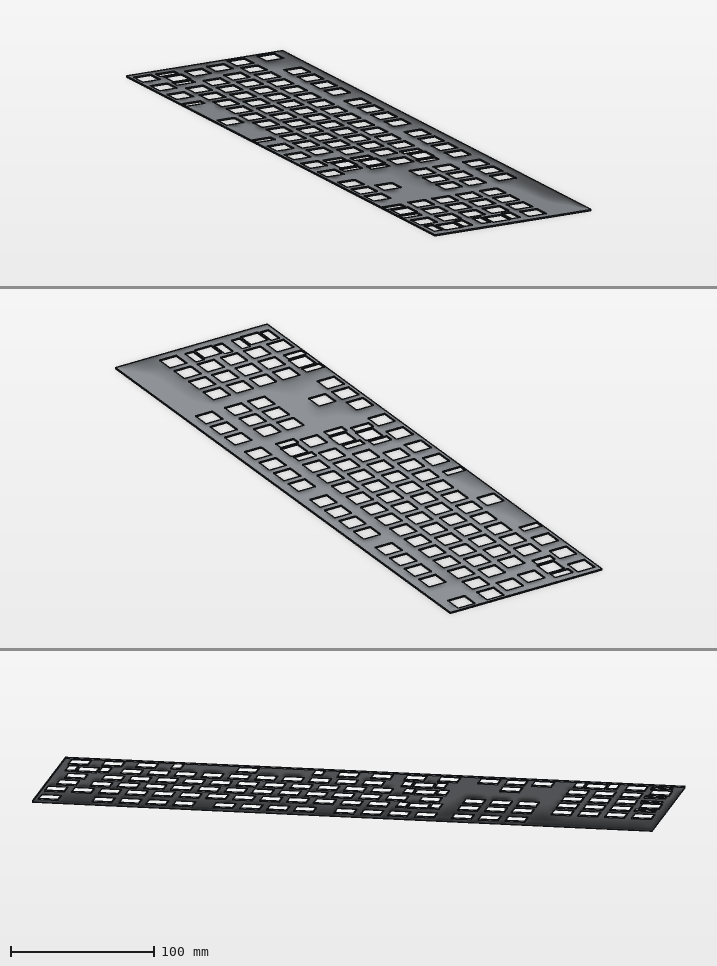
import cadquery as cq

plate_length = 439.5
plate_width = 124.8
plate_thickness = 1.0

function_row_span_units = 14
function_row_span = 266.5
key_unit = function_row_span / function_row_span_units
switch_size = 14.0
corner_radius = 0.5

left_margin = 2.55
right_margin = 6.5
bottom_margin = 2.5

numpad_web = 14.0

slot_width = 7.0
slot_length = 15.0
slot_shift = 1.55
slot_spacing = 23.7
space_slot_spacing = 100.0

first_x = -plate_length / 2 + left_margin + switch_size / 2
first_y = -plate_width / 2 + bottom_margin + switch_size / 2

main_rows = 5
function_row_gap_units = 0.25
row_y = [first_y + row * key_unit for row in range(main_rows)]
row_y.append(first_y + (main_rows + function_row_gap_units) * key_unit)
space_row, shift_row, home_row, tab_row, number_row, function_row = row_y

numpad_columns = 4
nav_columns = 3
tall_x = plate_length / 2 - right_margin - switch_size / 2
numpad_x = tall_x - (numpad_columns - 1) * key_unit
nav_x = numpad_x - numpad_web - switch_size - (nav_columns - 1) * key_unit


def row_of_keys(start_x, y, widths):
    """Centres of adjoining keys whose widths are given in key units."""
    centres = []
    left_edge = start_x - key_unit / 2
    for width in widths:
        centres.append((left_edge + width * key_unit / 2, y))
        left_edge += width * key_unit
    return centres


number_keys = row_of_keys(first_x, number_row, [1] * 13 + [2])
tab_keys = row_of_keys(first_x, tab_row, [1.5] + [1] * 12 + [1.5])
home_keys = row_of_keys(first_x, home_row, [1.75] + [1] * 11 + [2.25])
shift_keys = row_of_keys(first_x, shift_row, [2.25] + [1] * 10 + [2.75])
space_keys = row_of_keys(first_x, space_row, [1.25] * 3 + [6.25] + [1.25] * 4)

function_group_starts = (2, 6.5, 11)
function_group = [1] * 4
function_keys = row_of_keys(first_x, function_row, [1])
for group_start in function_group_starts:
    function_keys += row_of_keys(first_x + group_start * key_unit, function_row, function_group)

nav_keys = [(nav_x + key_unit, shift_row)]
for y in (function_row, number_row, tab_row, space_row):
    nav_keys += row_of_keys(nav_x, y, [1] * nav_columns)

numpad_keys = row_of_keys(numpad_x, number_row, [1] * numpad_columns)
for y in (tab_row, home_row, shift_row):
    numpad_keys += row_of_keys(numpad_x, y, [1] * (numpad_columns - 1))
zero_key, point_key = row_of_keys(numpad_x, space_row, [2, 1])
tall_keys = [(tall_x, (tab_row + home_row) / 2), (tall_x, (shift_row + space_row) / 2)]
numpad_keys += [zero_key, point_key] + tall_keys

switch_centres = (
    function_keys + number_keys + tab_keys + home_keys + shift_keys + space_keys + nav_keys + numpad_keys
)

wide_keys = [number_keys[-1], home_keys[-1], shift_keys[0], shift_keys[-1], zero_key]
stabilized_keys = [(key, slot_spacing) for key in wide_keys]
space_bar = space_keys[3]
stabilized_keys.append((space_bar, space_slot_spacing))

upright_slots = []
for (x, y), spacing in stabilized_keys:
    for side in (-1, 1):
        upright_slots.append((x + side * spacing / 2, y - slot_shift))

lying_slots = []
for x, y in tall_keys:
    for side in (-1, 1):
        lying_slots.append((x - slot_shift, y + side * slot_spacing / 2))


def through_openings(centres, size_x, size_y):
    """Cutters for rectangular openings with rounded corners through the plate, one at every centre."""
    block = cq.Workplane("XY").box(size_x, size_y, 2 * plate_thickness)
    cutter = block.edges("|Z").fillet(corner_radius).val()
    return [cutter.moved(cq.Location(cq.Vector(x, y, 0))) for x, y in centres]


cutters = through_openings(switch_centres, switch_size, switch_size)
cutters += through_openings(upright_slots, slot_width, slot_length)
cutters += through_openings(lying_slots, slot_length, slot_width)

plate = cq.Workplane("XY").box(plate_length, plate_width, plate_thickness).val()
result = cq.Workplane(plate.cut(*cutters)).solids()